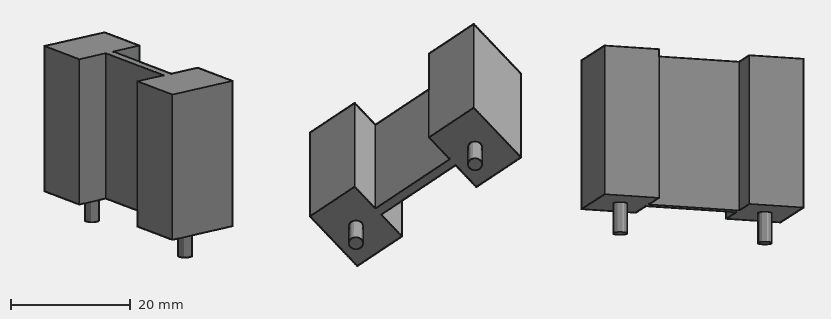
import cadquery as cq

total_length = 34.92
housing_depth = 12.7
total_height = 30.5

block_width = 9.55
housing_height = 25.4
web_thickness = 1.57
pin_diameter = 2.37

web_length = total_length - 2 * block_width
pin_length = total_height - housing_height
block_center_x = (total_length - block_width) / 2
block_centers = [(-block_center_x, 0), (block_center_x, 0)]


def make_housing():
    """H-shaped housing: two end blocks joined by a thin full-height web."""
    blocks = (
        cq.Workplane("XY")
        .pushPoints(block_centers)
        .rect(block_width, housing_depth)
        .extrude(housing_height)
    )
    web = cq.Workplane("XY").rect(web_length, web_thickness).extrude(housing_height)
    return blocks.union(web)


def make_pin(center):
    """Round pin hanging below the middle of an end block, touching its underside."""
    return cq.Workplane("XY").center(*center).circle(pin_diameter / 2).extrude(-pin_length)


housing = make_housing()
pins = [make_pin(center).val() for center in block_centers]

result = cq.Compound.makeCompound([housing.val(), *pins])